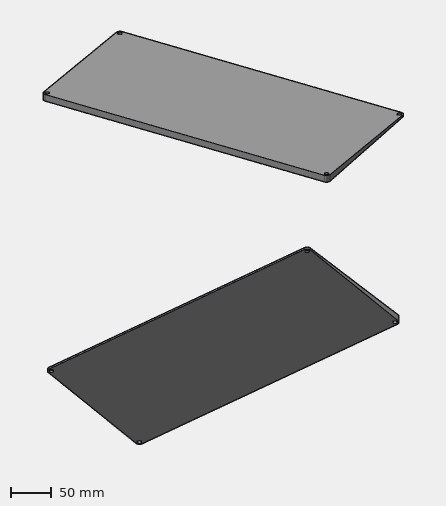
import cadquery as cq

length = 408.5
width = 184.7
front_thickness = 9.5
back_thickness = 3.0

corner_radius = 5.0
hole_diameter = 5.5
hole_inset = 5.0


def wedge():
    """Flat-topped plate whose underside rises toward the back (+Y)."""
    profile = [
        (0, 0),
        (width, front_thickness - back_thickness),
        (width, front_thickness),
        (0, front_thickness),
    ]
    return cq.Workplane("YZ").polyline(profile).close().extrude(length)


def corner_holes():
    """Cylinders for the four through holes, one in each corner."""
    centers = [
        (x, y)
        for x in (hole_inset, length - hole_inset)
        for y in (hole_inset, width - hole_inset)
    ]
    return cq.Workplane("XY").pushPoints(centers).circle(hole_diameter / 2).extrude(front_thickness)


result = wedge().edges("|Z").fillet(corner_radius).cut(corner_holes())